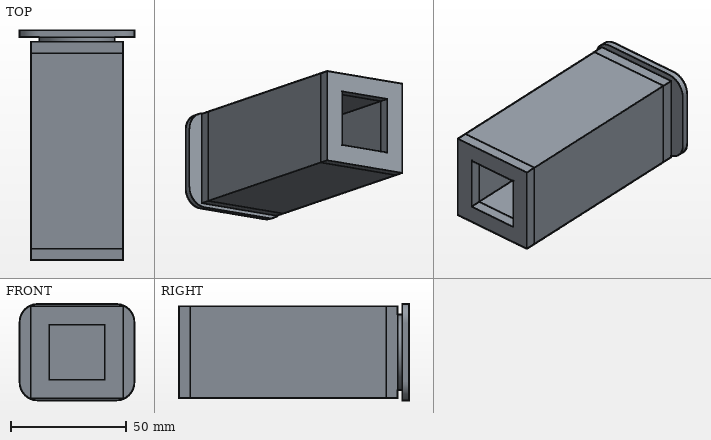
import cadquery as cq

total_length = 100
housing_side = 40
bore_side = 24
end_thickness = 5
flange_width = 50
flange_height = 42
flange_thickness = 3
flange_corner_radius = 8
neck_diameter = 33
neck_length = 2

flange_start = total_length - flange_thickness
neck_start = flange_start - neck_length
end_cap_start = neck_start - end_thickness
tube_length = end_cap_start - end_thickness


def block(width, height, start, length):
    """Rectangular block centred on the Y axis, running from start toward +Y."""
    return cq.Workplane("XY").box(width, length, height).translate((0, start + length / 2, 0))


def square_block(side, start, length):
    """Block of square section."""
    return block(side, side, start, length)


def square_ring(start, length):
    """Housing section with the square bore passing through it."""
    return square_block(housing_side, start, length).cut(square_block(bore_side, start, length))


def make_mounting_flange():
    """Rounded plate with a round neck that meets the end cap."""
    plate = block(flange_width, flange_height, flange_start, flange_thickness)
    plate = plate.edges("|Y").fillet(flange_corner_radius)
    neck = (
        cq.Workplane("XZ", origin=(0, flange_start, 0))
        .circle(neck_diameter / 2)
        .extrude(neck_length)
    )
    return plate.union(neck)


front_frame = square_ring(0, end_thickness)
tube = square_ring(end_thickness, tube_length)
end_cap = square_block(housing_side, end_cap_start, end_thickness)
mounting_flange = make_mounting_flange()

result = cq.Compound.makeCompound([
    front_frame.val(),
    tube.val(),
    end_cap.val(),
    mounting_flange.val(),
])